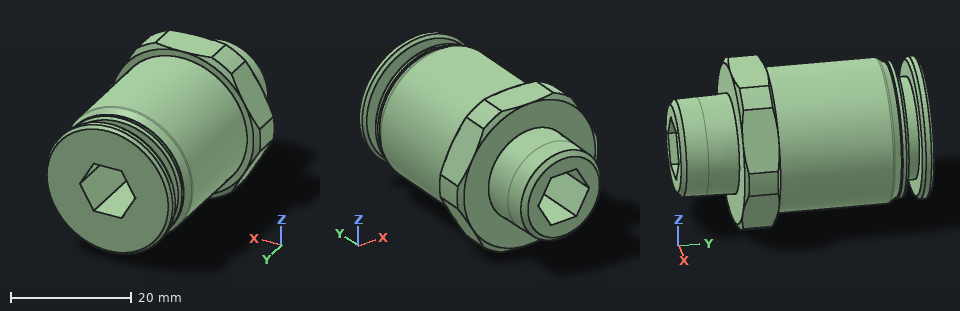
import cadquery as cq
import math

LENGTH = 42.05
TIP_CHAMFER_END = 0.8
THREAD_STEP = 4.45
NUT_START = 9.67
NUT_END = 15.73
BODY_END = 35.0
SHOULDER_START = 35.3
SHOULDER_END = 36.55
RING_END = 37.85
COLLAR_START = 40.05

TIP_RADIUS = 7.35
THREAD_FRONT_RADIUS = 8.25
THREAD_STEP_RADIUS = 8.33
THREAD_BACK_RADIUS = 8.45
BODY_RADIUS = 12.28
SHOULDER_START_RADIUS = 12.2
SHOULDER_END_RADIUS = 11.35
RING_RADIUS = 11.55
STEM_RADIUS = 8.6
COLLAR_RADIUS = 12.0

RING_FRONT_CHAMFER = 0.2
RING_BACK_CHAMFER = 0.45
COLLAR_CHAMFER = 0.55

NUT_FLATS = 27.0
NUT_CORNER_DIAMETER = 29.0
NUT_CHAMFER_LENGTH = 0.55
KEY_FLATS = 9.05


def revolve_profile(points):
    """Revolve (radius, Y) points around the Y axis, closing the profile on the axis."""
    start = (0, points[0][1])
    end = (0, points[-1][1])
    profile = cq.Workplane("XY").polyline([start, *points, end]).close()
    return profile.revolve(360, (0, 0, 0), (0, 1, 0))


def hex_prism(flats, start, end):
    """Hexagonal prism along Y with its flats facing up and down."""
    corner_diameter = flats / math.cos(math.pi / 6)
    plane = cq.Workplane("XZ", origin=(0, start, 0))
    return plane.polygon(6, corner_diameter).extrude(start - end)


def make_nut():
    """Hex nut with corners turned down and both faces chamfered to the flats."""
    face_radius = NUT_FLATS / 2
    corner_radius = NUT_CORNER_DIAMETER / 2
    envelope = revolve_profile([
        (face_radius, NUT_START),
        (corner_radius, NUT_START + NUT_CHAMFER_LENGTH),
        (corner_radius, NUT_END - NUT_CHAMFER_LENGTH),
        (face_radius, NUT_END),
    ])
    return hex_prism(NUT_FLATS, NUT_START, NUT_END).intersect(envelope)


turned = revolve_profile([
    (TIP_RADIUS, 0),
    (THREAD_FRONT_RADIUS, TIP_CHAMFER_END),
    (THREAD_STEP_RADIUS, THREAD_STEP),
    (THREAD_BACK_RADIUS, NUT_START),
    (BODY_RADIUS, NUT_START + NUT_CHAMFER_LENGTH),
    (BODY_RADIUS, BODY_END),
    (SHOULDER_START_RADIUS, SHOULDER_START),
    (SHOULDER_END_RADIUS, SHOULDER_END),
    (RING_RADIUS, SHOULDER_END + RING_FRONT_CHAMFER),
    (RING_RADIUS, RING_END - RING_BACK_CHAMFER),
    (RING_RADIUS - RING_BACK_CHAMFER, RING_END),
    (STEM_RADIUS, RING_END),
    (STEM_RADIUS, COLLAR_START),
    (COLLAR_RADIUS - COLLAR_CHAMFER, COLLAR_START),
    (COLLAR_RADIUS, COLLAR_START + COLLAR_CHAMFER),
    (COLLAR_RADIUS, LENGTH - COLLAR_CHAMFER),
    (COLLAR_RADIUS - COLLAR_CHAMFER, LENGTH),
])

key_socket = hex_prism(KEY_FLATS, 0, LENGTH)

result = turned.union(make_nut()).cut(key_socket)